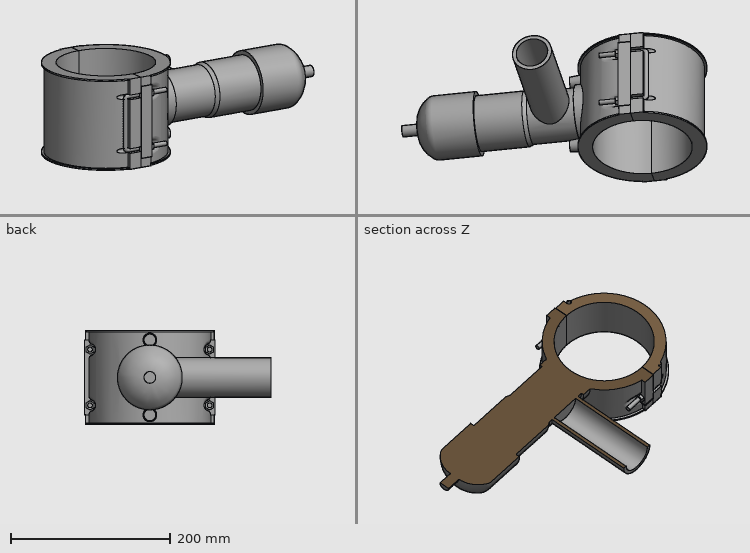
import cadquery as cq
import math

clamp_height = 118.0
bore_radius = 62.5
shell_radius = 78.0
rim_radius = 81.0
rim_height = 2.0

lug_reach = rim_radius
lower_lug_depth = 16.0
upper_lug_depth = 15.0
pad_reach = 82.0
pad_depth = 16.0
pad_height = 94.0
lug_inner = 66.0

rod_diameter = 6.0
rod_radius = rod_diameter / 2
bolt_offset = 75.0
bolt_spacing = 70.0
bolt_end = 41.0
bolt_seat = -lower_lug_depth
bolt_bend_radius = 3.2
nut_width = 10.0
nut_height = 4.0

pocket_radius = 7.0
pocket_blend = 6.0
pocket_end = 60.0

saddle_diameter = 73.2
saddle_end = 81.5
neck_diameter = 65.88
neck_end = 142.0
barrel_diameter = 70.76
barrel_start = 147.4
cap_diameter = 81.33
cap_start = 208.5
cap_shoulder = 262.0
dome_start = 269.0
dome_base_radius = 38.5
dome_top = 286.3
stem_diameter = 14.64
stem_end = 305.97

inlet_diameter = 50.0
inlet_bore_diameter = 40.0
inlet_end = -152.0
inlet_y = 112.5

terminal_diameter = stem_diameter
terminal_end = 92.0
terminal_z = 47.0
terminal_root = 70.0
terminal_draft = 5.0

SIDES = (-1, 1)


def y_cylinder(diameter, start, end, x=0, z=0):
    """Cylinder parallel to Y, from Y = start to Y = end."""
    plane = cq.Plane(origin=(x, start, z), xDir=(1, 0, 0), normal=(0, 1, 0))
    return cq.Workplane(plane).circle(diameter / 2).extrude(end - start)


def box_between(x_range, y_range, height):
    """Box centred on Z = 0 that spans the given X and Y ranges."""
    x_size = x_range[1] - x_range[0]
    y_size = y_range[1] - y_range[0]
    center = (sum(x_range) / 2, sum(y_range) / 2, 0)
    return cq.Workplane("XY").box(x_size, y_size, height).translate(center)


def disc(radius, height):
    """Cylinder on the Z axis, centred on Z = 0."""
    return cq.Workplane("XY", origin=(0, 0, -height / 2)).circle(radius).extrude(height)


def half_space(side):
    """Block that covers the upper (side = 1) or lower (side = -1) half of the clamp."""
    depth = 2 * rim_radius
    return box_between((-depth, depth), sorted((0, side * depth)), 2 * clamp_height)


def rims():
    """Flat rims at both ends of the shell."""
    return disc(rim_radius, clamp_height).cut(disc(rim_radius, clamp_height - 2 * rim_height))


def lugs(reach, y_range, height):
    """Lug blocks on both sides, left open in the middle."""
    block = box_between((-reach, reach), y_range, height)
    return block.cut(box_between((-lug_inner, lug_inner), y_range, height))


def bolt_places():
    """X and Z of every bolt leg."""
    return [(x * bolt_offset, z * bolt_spacing / 2) for x in SIDES for z in SIDES]


def bolt_channel(x, z, radius, start, end):
    """Round-bottomed channel parallel to Y, open toward the outside."""
    outward = math.copysign(rim_radius, x)
    round_bottom = y_cylinder(2 * radius, start, end, x, z)
    opening = box_between(sorted((x, x + outward)), (start, end), 2 * radius)
    return round_bottom.union(opening.translate((0, 0, z)))


def bolt_nut(x, z):
    """Hexagon nut resting on the lug pad, with two flats facing along X."""
    plane = cq.Plane(origin=(x, pad_depth, z), xDir=(0, 0, 1), normal=(0, 1, 0))
    corner_diameter = nut_width / math.cos(math.pi / 6)
    return cq.Workplane(plane).polygon(6, corner_diameter).extrude(nut_height)


def u_bolt(side):
    """Round rod bent tightly around the lower lug, with a nut on each leg."""
    x = side * bolt_offset
    half_span = bolt_spacing / 2
    bar_y = bolt_seat - rod_radius
    path = (
        cq.Workplane("YZ", origin=(x, 0, 0))
        .moveTo(bolt_end, half_span)
        .lineTo(bar_y + bolt_bend_radius, half_span)
        .tangentArcPoint((-bolt_bend_radius, -bolt_bend_radius))
        .lineTo(bar_y, bolt_bend_radius - half_span)
        .tangentArcPoint((bolt_bend_radius, -bolt_bend_radius))
        .lineTo(bolt_end, -half_span)
    )
    leg_end = cq.Plane(origin=(x, bolt_end, half_span), xDir=(1, 0, 0), normal=(0, -1, 0))
    bolt = cq.Workplane(leg_end).circle(rod_radius).sweep(path)
    for end in SIDES:
        bolt = bolt.union(bolt_nut(x, end * half_span))
    return bolt


def valve_body():
    """Saddle, neck, barrel, domed cap and stem as one turned shape."""
    crown_radius = stem_diameter / 2
    dome_rise = dome_top - dome_start
    dome_run = dome_base_radius - crown_radius
    dome_radius = (dome_run**2 + dome_rise**2) / (2 * dome_rise)
    dome_mid_angle = math.asin(dome_run / dome_radius) / 2
    dome_mid = (
        crown_radius + dome_radius * math.sin(dome_mid_angle),
        dome_top - dome_radius * (1 - math.cos(dome_mid_angle)),
    )
    profile = (
        cq.Workplane("XY")
        .lineTo(saddle_diameter / 2, 0)
        .lineTo(saddle_diameter / 2, saddle_end)
        .lineTo(neck_diameter / 2, saddle_end)
        .lineTo(neck_diameter / 2, neck_end)
        .lineTo(barrel_diameter / 2, barrel_start)
        .lineTo(barrel_diameter / 2, cap_start)
        .lineTo(cap_diameter / 2, cap_start)
        .lineTo(cap_diameter / 2, cap_shoulder)
        .tangentArcPoint((dome_base_radius, dome_start), relative=False)
        .threePointArc(dome_mid, (crown_radius, dome_top))
        .lineTo(crown_radius, stem_end)
        .lineTo(0, stem_end)
        .close()
    )
    return profile.revolve(360, (0, 0, 0), (0, 1, 0))


def inlet_cylinder(diameter, end):
    """Cylinder along the inlet axis, from the open end to X = end."""
    plane = cq.Workplane("YZ", origin=(inlet_end, inlet_y, 0))
    return plane.circle(diameter / 2).extrude(end - inlet_end)


def terminal(z):
    """Round terminal boss that widens toward the shell."""
    plane = cq.Plane(origin=(0, terminal_end, z), xDir=(1, 0, 0), normal=(0, -1, 0))
    tip = cq.Workplane(plane).circle(terminal_diameter / 2)
    return tip.extrude(terminal_end - terminal_root, taper=-terminal_draft)


def make_lower_clamp():
    """Lower half shell with its lugs and the two U-bolts seated in channels."""
    shell = disc(shell_radius, clamp_height).union(rims()).intersect(half_space(-1))
    shell = shell.union(lugs(lug_reach, (-lower_lug_depth, 0), clamp_height))
    for x, z in bolt_places():
        shell = shell.cut(bolt_channel(x, z, rod_radius, -rim_radius, 0))
    shell = shell.cut(disc(bore_radius, clamp_height))
    for side in SIDES:
        shell = shell.union(u_bolt(side))
    return shell


def make_upper_saddle():
    """Upper half shell with nut pockets, lugs, valve body, inlet and terminals."""
    shell = disc(shell_radius, clamp_height).intersect(half_space(1))
    for x, z in bolt_places():
        shell = shell.cut(bolt_channel(x, z, pocket_radius, 0, pocket_end))
    outer_face = cq.selectors.NearestToPointSelector((0, shell_radius, 0))
    pocket_edges = shell.faces(outer_face).edges("not (|Z or <Z or >Z)")
    shell = pocket_edges.fillet(pocket_blend)
    for side in SIDES:
        shell = shell.union(terminal(side * terminal_z))
    shell = shell.union(rims().intersect(half_space(1)))
    shell = shell.union(lugs(lug_reach, (0, upper_lug_depth), clamp_height))
    shell = shell.union(lugs(pad_reach, (0, pad_depth), pad_height))
    shell = shell.union(valve_body())
    shell = shell.union(inlet_cylinder(inlet_diameter, 0))
    shell = shell.cut(inlet_cylinder(inlet_bore_diameter, -neck_diameter / 2))
    shell = shell.cut(disc(bore_radius, clamp_height))
    for x, z in bolt_places():
        shell = shell.cut(y_cylinder(rod_diameter, 0, bolt_end, x, z))
    return shell


lower_clamp = make_lower_clamp()
upper_saddle = make_upper_saddle()

result = cq.Compound.makeCompound([lower_clamp.solids().val(), upper_saddle.solids().val()])